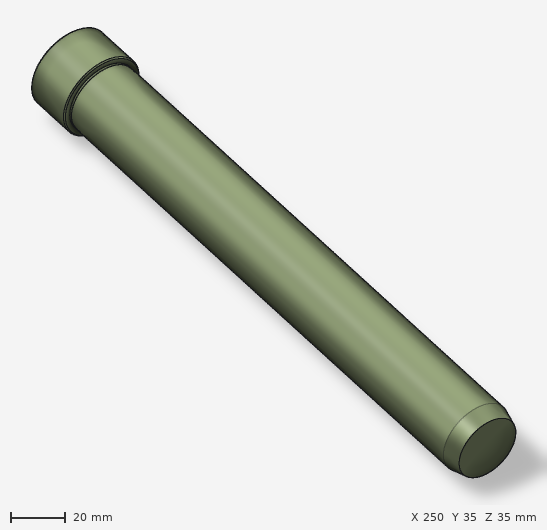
import cadquery as cq
import math

total_length = 250.0
head_diameter = 35.0
head_length = 20.0
head_chamfer = 0.5
shank_diameter = 30.0
groove_width = 1.0
groove_depth = 0.25
tip_length = 7.0
tip_taper_angle = 15.0

head_radius = head_diameter / 2
head_face_radius = head_radius - head_chamfer
shank_radius = shank_diameter / 2
groove_middle = head_length + groove_width / 2
groove_end = head_length + groove_width
tip_start = total_length - tip_length
tip_end_radius = shank_radius - tip_length * math.tan(math.radians(tip_taper_angle))


def add_head(profile):
    """Head outline with both rims chamfered, ending at the shank radius."""
    return (
        profile.lineTo(0, head_face_radius)
        .lineTo(head_chamfer, head_radius)
        .lineTo(head_length - head_chamfer, head_radius)
        .lineTo(head_length, head_face_radius)
        .lineTo(head_length, shank_radius)
    )


def add_relief_groove(profile):
    """Shallow rounded groove in the shank, directly behind the head."""
    return profile.threePointArc(
        (groove_middle, shank_radius - groove_depth),
        (groove_end, shank_radius),
    )


def add_shank_and_tip(profile):
    """Straight shank followed by the tapered lead-in tip and its flat end."""
    return (
        profile.lineTo(tip_start, shank_radius)
        .lineTo(total_length, tip_end_radius)
        .lineTo(total_length, 0)
    )


half_profile = cq.Workplane("XZ").moveTo(0, 0)
half_profile = add_head(half_profile)
half_profile = add_relief_groove(half_profile)
half_profile = add_shank_and_tip(half_profile).close()

result = half_profile.revolve(360, (0, 0, 0), (1, 0, 0))